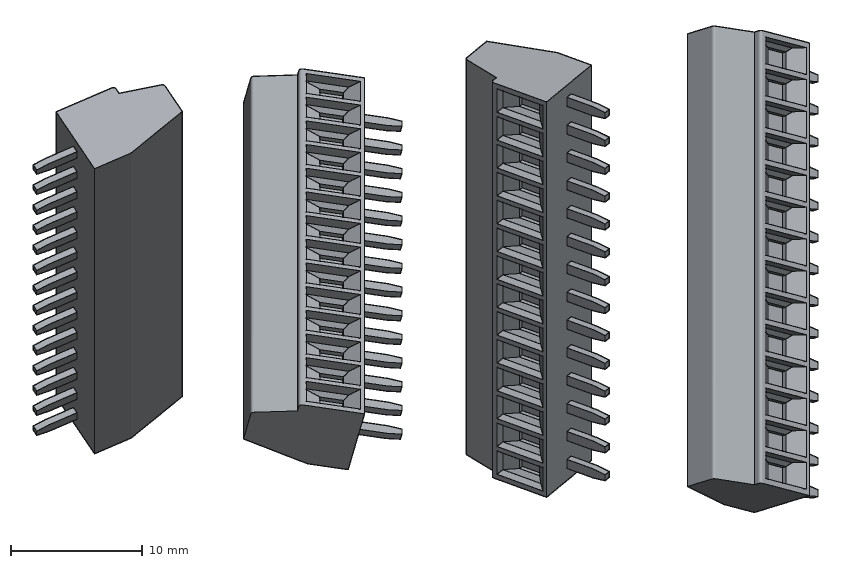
import cadquery as cq

pole_count = 14
body_width = 6.2
body_depth = 8.5
body_height = 36.02
end_margin = 1.5
pole_pitch = (body_height - 2 * end_margin) / (pole_count - 1)

top_start = 1.6
top_end = 4.55
ledge_width = 0.72
ledge_height = 5.08
rear_wall_height = 3.17
edge_radius = 0.25

pin_length = 3.5
pin_width = 0.58
pin_height = 0.83
pin_tip_height = 0.55
pin_tip_length = 1.08

mouth_bottom = 0.32
mouth_top = 4.55
mouth_height = 2.13
mouth_depth = 0.8
funnel_depth = 0.35
hole_bottom = 1.4
hole_top = 3.25
hole_height = 1.45
hole_depth = 0.35
hole_lift = 0.05


def make_body():
    profile = (
        cq.Workplane("XY")
        .polyline([
            (0, 0),
            (body_width, 0),
            (body_width, rear_wall_height),
            (top_end, body_depth),
            (top_start, body_depth),
            (ledge_width, ledge_height),
            (0, ledge_height),
        ])
        .close()
    )
    body = profile.extrude(body_height)
    ledge_edge = cq.selectors.NearestToPointSelector((0, ledge_height, body_height / 2))
    top_edge = cq.selectors.NearestToPointSelector((top_start, body_depth, body_height / 2))
    return body.edges(ledge_edge).fillet(edge_radius).edges(top_edge).fillet(edge_radius)


def make_pin():
    """Flat pin pointing to -Y, tapering in Z at its tip and centred on Z = 0."""
    half = pin_height / 2
    half_tip = pin_tip_height / 2
    taper_start = pin_tip_length - pin_length
    return (
        cq.Workplane("YZ")
        .polyline([
            (0, -half),
            (0, half),
            (taper_start, half),
            (-pin_length, half_tip),
            (-pin_length, -half_tip),
            (taper_start, -half),
        ])
        .close()
        .extrude(pin_width / 2, both=True)
        .translate((body_width / 2, 0, 0))
    )


def make_wire_entry():
    """Mouth, funnel and hole, bounded below by one slope, centred on Z = 0."""
    funnel_end = mouth_depth + funnel_depth
    entry_depth = funnel_end + hole_depth
    mouth_length = mouth_top - mouth_bottom
    mouth_middle = (mouth_top + mouth_bottom) / 2
    hole_length = hole_top - hole_bottom
    hole_middle = (hole_top + hole_bottom) / 2

    mouth = (
        cq.Workplane("YZ")
        .center(mouth_middle, 0)
        .rect(mouth_length, mouth_height)
        .extrude(mouth_depth)
    )
    funnel = (
        cq.Workplane("YZ", origin=(mouth_depth, 0, 0))
        .center(mouth_middle, 0)
        .rect(mouth_length, mouth_height)
        .workplane(offset=funnel_depth)
        .center(hole_middle - mouth_middle, hole_lift)
        .rect(hole_length, hole_height)
        .loft(ruled=True)
    )
    hole = (
        cq.Workplane("YZ", origin=(funnel_end, 0, 0))
        .center(hole_middle, hole_lift)
        .rect(hole_length, hole_height)
        .extrude(hole_depth)
    )
    above_slope = (
        cq.Workplane("XY")
        .polyline([
            (0, mouth_bottom),
            (funnel_end, hole_bottom),
            (entry_depth, hole_bottom),
            (entry_depth, mouth_top),
            (0, mouth_top),
        ])
        .close()
        .extrude(mouth_height / 2, both=True)
    )
    return mouth.union(funnel).union(hole).intersect(above_slope)


pin = make_pin()
wire_entry = make_wire_entry()
result = make_body()
for pole in range(pole_count):
    pole_z = end_margin + pole * pole_pitch
    result = result.union(pin.translate((0, 0, pole_z)))
    result = result.cut(wire_entry.translate((0, 0, pole_z)))